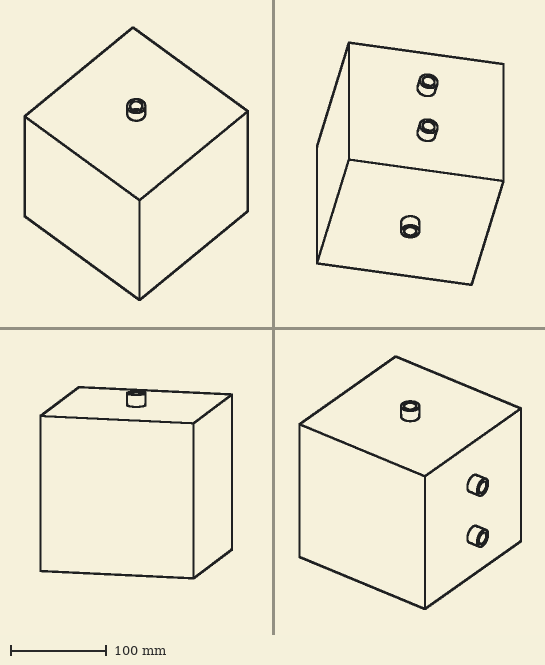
import cadquery as cq

total_height = 190.5
block_side = 165.2
port_length = (total_height - block_side) / 2
port_outer_diameter = 19.0
port_bore_diameter = 12.8
rear_port_spacing = 63.5

half_side = block_side / 2


def make_block():
    """Plain cube centred on the origin."""
    return cq.Workplane("XY").box(block_side, block_side, block_side)


def make_port(base, direction):
    """Tube that starts at base on a block face and points along direction."""
    face_plane = cq.Plane(origin=base, normal=direction)
    return (
        cq.Workplane(face_plane)
        .circle(port_outer_diameter / 2)
        .circle(port_bore_diameter / 2)
        .extrude(port_length)
    )


block = make_block()

port_places = [
    ((0, 0, half_side), (0, 0, 1)),
    ((0, 0, -half_side), (0, 0, -1)),
    ((0, half_side, rear_port_spacing / 2), (0, 1, 0)),
    ((0, half_side, -rear_port_spacing / 2), (0, 1, 0)),
]
ports = [make_port(base, direction) for base, direction in port_places]

result = cq.Compound.makeCompound([block.val(), *[port.val() for port in ports]])